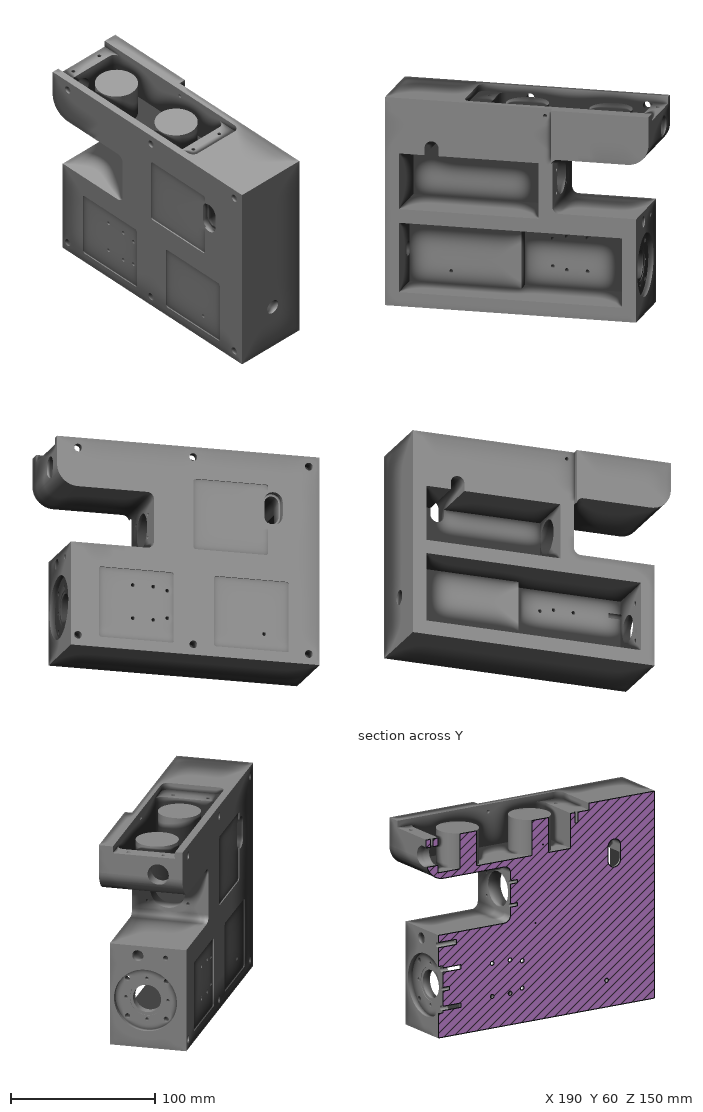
import cadquery as cq
import math

length = 190.0
height = 150.0
arm_depth = 60.0
body_depth = 55.0

base_left = 10.0
notch_back = 70.1
arm_right = 70.0
notch_bottom = 74.5
notch_top = 114.8
notch_fillet = 5.0
arm_tip_radius = 15.0

pocket_front = 5.3
pocket_back = 50.0
pocket_radius = 5.0
ledge_end = 135.0
ledge_depth = 5.0
well_left = 10.0
well_right = 119.9
well_floor = 119.7
post_diameter = 30.0
post_centers_x = [35.2, 95.0]
post_center_y = 27.5
ledge_screw_x = [5.0, 125.2]
ledge_screw_y = [15.2, 40.0]
ledge_screw_depth = 7.6

small_hole = 2.7
fine_tap = 2.3
fine_tap_depth = 5.7
tapped_hole = 3.6

recess_width = 54.0
recess_height = 50.7
recess_depth = 1.0
recess_radius = 1.5
lower_recess_z = 7.5
upper_recess_z = 76.4
recess_corners = [(30.4, lower_recess_z), (113.6, lower_recess_z), (98.8, upper_recess_z)]
front_through_holes = [
    (55.1, 47.0), (70.0, 47.0), (80.0, 44.8),
    (55.1, 23.0), (70.0, 23.0), (80.0, 25.0),
    (150.1, 19.4),
]

cover_screw_diameter = 5.5
cover_screw_depth = 10.0
drill_tip_angle = 118.0
cover_screw_x = [15.2, 98.6, 182.2]
cover_screw_z = [7.5, 142.7]

slot_x = 156.5
slot_z = 110.4
slot_width = 10.0
slot_height = 20.0
slot_rim = 1.7
slot_rim_depth = 5.0

bore_y = 29.3
spindle_z = 34.8
flange_diameter = 45.2
flange_depth = 3.8
seat_diameter = 24.5
seat_depth = 0.4
bore_diameter = 20.1
exit_diameter = 10.6
flange_screw_offset = 13.9
flange_screw_depth = 15.2
ring_screw_radius = 15.0
port_z = 67.3
large_port_y = 34.8
large_port_diameter = 8.0
small_port_y = 14.8
port_depth = 15.2
notch_bore_z = (notch_bottom + notch_top) / 2
notch_bore_diameter = 25.0
notch_screw_offset_y = 14.5
notch_screw_offset_z = 8.4
arm_hole_y = 17.5
arm_hole_z = 132.0
arm_hole_diameter = 15.2

back_wall_hole_x = 75.5
back_wall_hole_z = 144.4

wall = 10.0
chamber_front = 15.4
shelf_front = 25.6
shelf_left = 100.0
lower_chamber_left = base_left + wall
lower_chamber_top = 60.0
upper_chamber_left = notch_back + wall
upper_chamber_bottom = 70.0
upper_chamber_top = 110.0


def box(x0, x1, y0, y1, z0, z1):
    return cq.Workplane("XY").box(x1 - x0, y1 - y0, z1 - z0, centered=False).translate((x0, y0, z0))


def hole_x(x, y, z, diameter, depth):
    """Cylinder running along +X from a left-hand face."""
    return cq.Workplane("YZ", origin=(x, y, z)).circle(diameter / 2).extrude(depth)


def hole_y(x, z, diameter, depth, y=0.0):
    """Cylinder running along +Y."""
    return cq.Workplane("XZ", origin=(x, y, z)).circle(diameter / 2).extrude(-depth)


def make_housing():
    """Side outline, thicker over the arm than over the rest of the body."""
    outline = (
        cq.Workplane("XZ")
        .moveTo(base_left, 0)
        .lineTo(length, 0)
        .lineTo(length, height)
        .lineTo(0, height)
        .lineTo(0, notch_top + arm_tip_radius)
        .radiusArc((arm_tip_radius, notch_top), -arm_tip_radius)
        .lineTo(notch_back, notch_top)
        .lineTo(notch_back, notch_bottom)
        .lineTo(base_left, notch_bottom)
        .close()
        .extrude(-arm_depth)
    )
    for corner_z in (notch_bottom, notch_top):
        corner = cq.NearestToPointSelector((notch_back, arm_depth / 2, corner_z))
        outline = outline.edges("|Y").edges(corner).fillet(notch_fillet)
    notch_middle = (notch_bottom + notch_top) / 2
    behind_block = box(0, length, body_depth, arm_depth, 0, notch_middle)
    behind_body = box(arm_right, length, body_depth, arm_depth, 0, height)
    return outline.cut(behind_block).cut(behind_body)


def make_chambers():
    """Lower and upper chambers; a shelf makes the right end of the lower one shallower."""
    right = length - wall
    lower = box(lower_chamber_left, right, chamber_front, body_depth, wall, lower_chamber_top)
    shelf = box(shelf_left, right, chamber_front, shelf_front, wall, lower_chamber_top)
    upper = box(upper_chamber_left, right, chamber_front, body_depth, upper_chamber_bottom, upper_chamber_top)
    return lower.cut(shelf).union(upper)


def make_top_pocket():
    """Ledge open at the arm tip, deep well and the two posts left standing in it."""
    ledge_z = height - ledge_depth
    ledge = box(0, ledge_end, pocket_front, pocket_back, ledge_z, height)
    ledge = ledge.edges("|Z and >X").fillet(pocket_radius)
    well = box(well_left, well_right, pocket_front, pocket_back, well_floor, ledge_z)
    well = well.edges("|Z").fillet(pocket_radius)
    for x in post_centers_x:
        post = cq.Workplane("XY", origin=(x, post_center_y, well_floor)).circle(post_diameter / 2)
        well = well.cut(post.extrude(ledge_z - well_floor))
    pocket = ledge.union(well)
    for x in ledge_screw_x:
        for y in ledge_screw_y:
            screw = cq.Workplane("XY", origin=(x, y, ledge_z)).circle(small_hole / 2)
            pocket = pocket.union(screw.extrude(-ledge_screw_depth))
    back_hole = hole_y(back_wall_hole_x, back_wall_hole_z, small_hole, arm_depth - pocket_back, pocket_back)
    return pocket.union(back_hole)


def cut_front_recesses(part):
    for x, z in recess_corners:
        recess = box(x, x + recess_width, 0, recess_depth, z, z + recess_height)
        part = part.cut(recess.edges("|Y").fillet(recess_radius))
    for x, z in front_through_holes:
        part = part.cut(hole_y(x, z, small_hole, arm_depth))
    return part


def cut_cover_screws(part):
    radius = cover_screw_diameter / 2
    tip_length = radius / math.tan(math.radians(drill_tip_angle / 2))
    profile = (
        cq.Workplane("XY")
        .polyline([(0, 0), (radius, 0), (radius, cover_screw_depth), (0, cover_screw_depth + tip_length)])
        .close()
    )
    drill = profile.revolve(360, (0, 0, 0), (0, 1, 0))
    for x in cover_screw_x:
        for z in cover_screw_z:
            part = part.cut(drill.translate((x, 0, z)))
    return part


def cut_slot(part):
    for margin, depth in ((0, body_depth), (slot_rim, slot_rim_depth)):
        slot = (
            cq.Workplane("XZ", origin=(slot_x, 0, slot_z))
            .slot2D(slot_height + 2 * margin, slot_width + 2 * margin, 90)
            .extrude(-depth)
        )
        part = part.cut(slot)
    return part


def cut_spindle_bore(part):
    """Stepped bore with its flange recess and two screw patterns."""
    flange_floor = base_left + flange_depth
    seat_floor = flange_floor + seat_depth
    part = part.cut(hole_x(base_left, bore_y, spindle_z, flange_diameter, flange_depth))
    part = part.cut(hole_x(flange_floor, bore_y, spindle_z, seat_diameter, seat_depth))
    part = part.cut(hole_x(seat_floor, bore_y, spindle_z, bore_diameter, lower_chamber_left - seat_floor))
    part = part.cut(hole_x(length - wall, bore_y, spindle_z, exit_diameter, wall))
    for side_y in (-1, 1):
        for side_z in (-1, 1):
            y = bore_y + side_y * flange_screw_offset
            z = spindle_z + side_z * flange_screw_offset
            part = part.cut(hole_x(flange_floor, y, z, tapped_hole, flange_screw_depth))
    for quarter in range(4):
        angle = quarter * math.pi / 2
        y = bore_y + ring_screw_radius * math.cos(angle)
        z = spindle_z + ring_screw_radius * math.sin(angle)
        part = part.cut(hole_x(flange_floor, y, z, fine_tap, fine_tap_depth))
    return part


def cut_left_ports(part):
    part = part.cut(hole_x(base_left, large_port_y, port_z, large_port_diameter, port_depth))
    part = part.cut(hole_x(base_left, small_port_y, port_z, tapped_hole, port_depth))
    arm_hole_depth = well_left + pocket_radius
    return part.cut(hole_x(0, arm_hole_y, arm_hole_z, arm_hole_diameter, arm_hole_depth))


def cut_notch_bore(part):
    part = part.cut(hole_x(notch_back, bore_y, notch_bore_z, notch_bore_diameter, wall))
    for side_y in (-1, 1):
        for side_z in (-1, 1):
            y = bore_y + side_y * notch_screw_offset_y
            z = notch_bore_z + side_z * notch_screw_offset_z
            part = part.cut(hole_x(notch_back, y, z, fine_tap, fine_tap_depth))
    return part


result = make_housing().cut(make_chambers()).cut(make_top_pocket())
result = cut_front_recesses(result)
result = cut_cover_screws(result)
result = cut_slot(result)
result = cut_spindle_bore(result)
result = cut_left_ports(result)
result = cut_notch_bore(result)